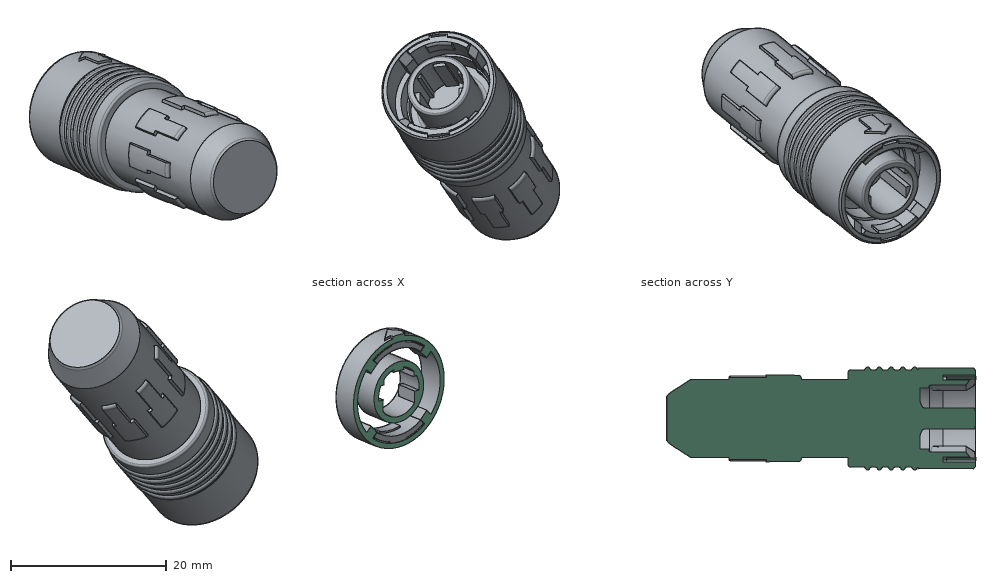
import cadquery as cq
import math

LENGTH = 39.8
COLLAR_FRONT = 0.05
COLLAR_R = 7.6
FRONT_CHAMFER = 0.25
GRIP_R = 14.85 / 2
GRIP_END = 16.48
GRIP_END_ROUND = 0.3
BODY_R = 12.78 / 2
TAPER_START = 36.75
TAPER_END = 39.5
TAPER_END_R = 5.1
TAIL_R = 4.85

RIB_COUNT = 5
RIB_PITCH = 1.5
RIB_FIRST = 7.9
RIB_R = 15.5 / 2
RIB_SHOULDER_R = 7.65
RIB_BASE_HALF = 0.85 / 2
RIB_TOP_HALF = 0.45 / 2

PAD_COUNT = 8
PAD_R = 6.85
PAD_ROUND = 0.45
PAD_START = 22.4
PAD_STEP = 27.0
PAD_END = 31.85
PAD_WIDE = 3.02
PAD_NARROW = 2.0

ARROW_TIP = 1.45
ARROW_HEAD_END = 3.35
ARROW_TAIL = 6.4
ARROW_HEAD_HALF = 2.0
ARROW_SHAFT_HALF = 2.03 / 2
OVERALL_HEIGHT = 15.65
ARROW_R = OVERALL_HEIGHT - RIB_R

SOCKET_R = 6.85
SHELF_X = 4.2
SOCKET_FLOOR = 7.15
SHELF_R = 6.1
SHELF_THROAT_R = 5.77
LEDGE_X = 5.97
LEDGE_R = 5.55

ARM_END = 3.8
ARM_PAD_END = 2.0
ARM_OUTER_R = 6.7
ARM_REAR_BORE_R = 5.95
ARM_HALF_ANGLE = 38.0
ARM_PAD_HALF_ANGLE = 17.0
KEY_R = 7.15
KEY_NOTCH_Z = 6.85
KEY_NOTCH_DEPTH = 1.2
TOP_NOTCH_WIDTH = 2.0
TOP_KEY_WIDTH = 2.45
BOTTOM_KEY_WIDTH = 2.9

RAMP_START = 0.1
RAMP_END = 1.27
RAMP_WIDTH = 1.5
RAMP_TOP_R = 5.8

TUBE_R = 4.18
TUBE_FRONT_ROUND = 0.26
TUBE_ROOT_ROUND = 0.5
BORE_R = 6.65 / 2
BORE_KEY_START = 0.6
TOP_BORE_KEY_WIDTH = 1.67
TOP_BORE_KEY_Z = 2.85
LARGE_BORE_KEY_Y = 2.6
LARGE_BORE_KEY_TOP = -0.48
SMALL_BORE_KEY_Y = 2.45
SMALL_BORE_KEY_BOTTOM = 1.5

OVERLAP = 0.2

DIAGONAL = math.sqrt(0.5)


def spin(profile):
    """Revolve a closed (x, radius) profile about the X axis."""
    return profile.close().revolve(360, (0, 0, 0), (1, 0, 0))


def ring(start, end, outer, inner=0.0):
    tube = cq.Workplane("YZ").workplane(offset=start).circle(outer)
    if inner > 0:
        tube = tube.circle(inner)
    return tube.extrude(end - start)


def block(x, y, z):
    """Box from (low, high) pairs along each axis."""
    size = [high - low for low, high in (x, y, z)]
    return cq.Workplane("XY").box(*size, centered=False).translate((x[0], y[0], z[0]))


def sector(half_angle, axis_angle):
    """Wedge about the X axis, as deep as the socket, centred on axis_angle from +Z."""
    reach = 2 * COLLAR_R
    side = reach * math.tan(math.radians(half_angle))
    outline = [(0, 0), (side, reach), (-side, reach)]
    wedge = cq.Workplane("YZ").polyline(outline).close().extrude(SOCKET_FLOOR)
    return wedge.rotate((0, 0, 0), (1, 0, 0), axis_angle)


def outer_sleeve():
    profile = (
        cq.Workplane("XY")
        .moveTo(COLLAR_FRONT, 0)
        .lineTo(COLLAR_FRONT, COLLAR_R - FRONT_CHAMFER)
        .lineTo(COLLAR_FRONT + FRONT_CHAMFER, COLLAR_R)
        .lineTo(RIB_FIRST - RIB_BASE_HALF, COLLAR_R)
    )
    for index in range(RIB_COUNT):
        centre = RIB_FIRST + index * RIB_PITCH
        profile = (
            profile.lineTo(centre - RIB_BASE_HALF, GRIP_R)
            .lineTo(centre - RIB_TOP_HALF, RIB_SHOULDER_R)
            .threePointArc((centre, RIB_R), (centre + RIB_TOP_HALF, RIB_SHOULDER_R))
            .lineTo(centre + RIB_BASE_HALF, GRIP_R)
        )
    round_inset = GRIP_END_ROUND * (1 - DIAGONAL)
    profile = (
        profile.lineTo(GRIP_END - GRIP_END_ROUND, GRIP_R)
        .threePointArc((GRIP_END - round_inset, GRIP_R - round_inset), (GRIP_END, GRIP_R - GRIP_END_ROUND))
        .lineTo(GRIP_END, BODY_R)
        .lineTo(TAPER_START, BODY_R)
        .lineTo(TAPER_END, TAPER_END_R)
        .lineTo(LENGTH, TAIL_R)
        .lineTo(LENGTH, 0)
    )
    return spin(profile)


def body_pads():
    """Eight stepped pads with rounded front and rear ends."""
    inset = PAD_ROUND * (1 - DIAGONAL)
    shoulder_r = PAD_R - PAD_ROUND
    root_r = BODY_R - OVERLAP
    band = spin(
        cq.Workplane("XY")
        .moveTo(PAD_START, root_r)
        .lineTo(PAD_START, shoulder_r)
        .threePointArc((PAD_START + inset, PAD_R - inset), (PAD_START + PAD_ROUND, PAD_R))
        .lineTo(PAD_END - PAD_ROUND, PAD_R)
        .threePointArc((PAD_END - inset, PAD_R - inset), (PAD_END, shoulder_r))
        .lineTo(PAD_END, root_r)
    )
    height = (0, PAD_R + OVERLAP)
    wide = block((PAD_START, PAD_STEP), (-PAD_WIDE / 2, PAD_WIDE / 2), height)
    narrow = block((PAD_STEP, PAD_END), (-PAD_NARROW / 2, PAD_NARROW / 2), height)
    pad = band.intersect(wide.union(narrow))
    pads = pad
    for index in range(1, PAD_COUNT):
        pads = pads.union(pad.rotate((0, 0, 0), (1, 0, 0), index * 360 / PAD_COUNT))
    return pads


def arrow():
    outline = (
        cq.Workplane("XY")
        .polyline([
            (ARROW_TIP, 0),
            (ARROW_HEAD_END, ARROW_HEAD_HALF),
            (ARROW_HEAD_END, ARROW_SHAFT_HALF),
            (ARROW_TAIL, ARROW_SHAFT_HALF),
            (ARROW_TAIL, -ARROW_SHAFT_HALF),
            (ARROW_HEAD_END, -ARROW_SHAFT_HALF),
            (ARROW_HEAD_END, -ARROW_HEAD_HALF),
        ])
        .close()
        .extrude(ARROW_R + OVERLAP)
    )
    return outline.intersect(ring(0, ARROW_TAIL, ARROW_R, COLLAR_R - OVERLAP))


def socket():
    """Stepped front cavity, still without its arms, ramps and tube."""
    return spin(
        cq.Workplane("XY")
        .moveTo(0, 0)
        .lineTo(0, SOCKET_R)
        .lineTo(SHELF_X, SOCKET_R)
        .lineTo(SHELF_X, SHELF_R)
        .lineTo(LEDGE_X, SHELF_THROAT_R)
        .lineTo(SOCKET_FLOOR, SHELF_THROAT_R)
        .lineTo(SOCKET_FLOOR, 0)
    )


def side_ledges():
    """Two raised bands in the throat, left and right of the arm sectors."""
    ledges = ring(LEDGE_X, SOCKET_FLOOR, SHELF_R, LEDGE_R)
    return ledges.cut(sector(ARM_HALF_ANGLE, 0)).cut(sector(ARM_HALF_ANGLE, 180))


def shelf_lip(axis_angle):
    """Narrower, straight throat behind an arm."""
    lip = ring(SHELF_X, LEDGE_X, SHELF_R, SHELF_THROAT_R)
    return lip.intersect(sector(ARM_HALF_ANGLE, axis_angle))


def arm(axis_angle):
    """Curved arm with a thicker, chamfered pad at its middle."""
    shell = spin(
        cq.Workplane("XY")
        .moveTo(0, ARM_OUTER_R)
        .lineTo(0, SHELF_R)
        .lineTo(ARM_END, ARM_REAR_BORE_R)
        .lineTo(ARM_END, ARM_OUTER_R)
    )
    shell = shell.intersect(sector(ARM_HALF_ANGLE, axis_angle))
    pad = spin(
        cq.Workplane("XY")
        .moveTo(0, ARM_OUTER_R)
        .lineTo(0, SHELF_R)
        .lineTo(SHELF_R - SHELF_THROAT_R, SHELF_THROAT_R)
        .lineTo(ARM_PAD_END, SHELF_THROAT_R)
        .lineTo(ARM_PAD_END, ARM_OUTER_R)
    )
    return shell.union(pad.intersect(sector(ARM_PAD_HALF_ANGLE, axis_angle)))


def arm_key(width):
    """Key joining the upper arm to the collar."""
    bar = block((0, ARM_END), (-width / 2, width / 2), (SHELF_R + OVERLAP, COLLAR_R))
    return bar.intersect(ring(0, ARM_END, KEY_R))


def key_notch(width):
    """Shallow flat-bottomed recess in the front of a key."""
    bar = block((0, KEY_NOTCH_DEPTH), (-width / 2, width / 2), (KEY_NOTCH_Z, COLLAR_R))
    return bar.intersect(ring(0, KEY_NOTCH_DEPTH, KEY_R))


def underside(shape):
    return shape.rotate((0, 0, 0), (1, 0, 0), 180)


def ramp(axis_angle):
    root_r = SOCKET_R + OVERLAP
    wedge = (
        cq.Workplane("XZ")
        .polyline([
            (RAMP_START, root_r),
            (RAMP_START, SOCKET_R),
            (RAMP_END, RAMP_TOP_R),
            (LEDGE_X, RAMP_TOP_R),
            (LEDGE_X, root_r),
        ])
        .close()
        .extrude(RAMP_WIDTH / 2, both=True)
    )
    return wedge.rotate((0, 0, 0), (1, 0, 0), axis_angle)


def central_tube():
    """Tube with a rounded mouth and a concave fillet where it meets the socket floor."""
    front_inset = TUBE_FRONT_ROUND * (1 - DIAGONAL)
    root_inset = TUBE_ROOT_ROUND * (1 - DIAGONAL)
    return spin(
        cq.Workplane("XY")
        .moveTo(0, BORE_R)
        .lineTo(0, TUBE_R - TUBE_FRONT_ROUND)
        .threePointArc((front_inset, TUBE_R - front_inset), (TUBE_FRONT_ROUND, TUBE_R))
        .lineTo(SOCKET_FLOOR - TUBE_ROOT_ROUND, TUBE_R)
        .threePointArc(
            (SOCKET_FLOOR - root_inset, TUBE_R + root_inset),
            (SOCKET_FLOOR, TUBE_R + TUBE_ROOT_ROUND),
        )
        .lineTo(SOCKET_FLOOR, BORE_R)
    )


def bore_keys():
    """Five keys along the bore wall, mirrored about the vertical plane."""
    span = (BORE_KEY_START, SOCKET_FLOOR)
    top_half = TOP_BORE_KEY_WIDTH / 2
    keys = block(span, (-top_half, top_half), (TOP_BORE_KEY_Z, TUBE_R))
    large = block(span, (LARGE_BORE_KEY_Y, TUBE_R), (-TUBE_R, LARGE_BORE_KEY_TOP))
    small = block(span, (SMALL_BORE_KEY_Y, TUBE_R), (SMALL_BORE_KEY_BOTTOM, TUBE_R))
    for key in (large, small):
        keys = keys.union(key).union(key.mirror("XZ"))
    return keys.intersect(ring(*span, (BORE_R + TUBE_R) / 2))


result = outer_sleeve().union(body_pads()).union(arrow()).cut(socket()).union(side_ledges())
for arm_angle in (0, 180):
    result = result.union(shelf_lip(arm_angle)).union(arm(arm_angle))
result = result.union(arm_key(TOP_KEY_WIDTH)).union(underside(arm_key(BOTTOM_KEY_WIDTH)))
result = result.cut(key_notch(TOP_NOTCH_WIDTH)).cut(underside(key_notch(BOTTOM_KEY_WIDTH)))
for ramp_angle in (45, 135, 225, 315):
    result = result.union(ramp(ramp_angle))
result = result.union(central_tube()).union(bore_keys())